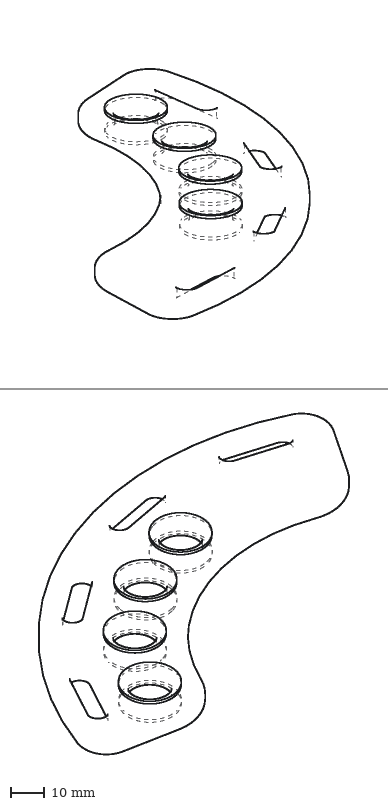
import cadquery as cq
import math

OUTER_RADIUS = 110.0
INNER_RADIUS = 65.0
SECTOR_ANGLE = 110.0
PLATE_THICKNESS = 6.0
EDGE_ROUND = 2.0
OUTER_CORNER_RADIUS = 10.0
INNER_CORNER_RADIUS = 16.0

HOLE_COUNT = 4
HOLE_DIAMETER = 13.0
HOLE_CIRCLE_RADIUS = 81.0
FIRST_HOLE_ANGLE = 12.85
HOLE_PITCH_ANGLE = 17.75
BOSS_HEIGHT = 8.0
BORE_ROUND = 3.0
BOSS_DIAMETER = HOLE_DIAMETER + 2 * BORE_ROUND

SLOT_COUNT = 4
SLOT_LENGTH = 24.0
SLOT_WIDTH = 6.0
SLOT_CIRCLE_RADIUS = 99.6
SLOT_PITCH_ANGLE = 27.08
FIRST_SLOT_ANGLE = (SECTOR_ANGLE - (SLOT_COUNT - 1) * SLOT_PITCH_ANGLE) / 2


def polar(radius, angle):
    """Point at a radius and a clockwise angle from +Y."""
    turn = math.radians(angle)
    return (radius * math.sin(turn), radius * math.cos(turn))


def corner_points(corner_radius, centre_radius):
    """Radius on the end line and angle on the arc where a rounded corner begins and ends."""
    line_radius = math.sqrt(centre_radius**2 - corner_radius**2)
    arc_angle = math.degrees(math.asin(corner_radius / centre_radius))
    return line_radius, arc_angle


def make_plate():
    outer_line_radius, outer_angle = corner_points(
        OUTER_CORNER_RADIUS, OUTER_RADIUS - OUTER_CORNER_RADIUS
    )
    inner_line_radius, inner_angle = corner_points(
        INNER_CORNER_RADIUS, INNER_RADIUS + INNER_CORNER_RADIUS
    )
    middle_angle = SECTOR_ANGLE / 2
    outline = (
        cq.Workplane("XY")
        .workplane(offset=-PLATE_THICKNESS / 2)
        .moveTo(*polar(inner_line_radius, 0))
        .lineTo(*polar(outer_line_radius, 0))
        .radiusArc(polar(OUTER_RADIUS, outer_angle), OUTER_CORNER_RADIUS)
        .threePointArc(polar(OUTER_RADIUS, middle_angle), polar(OUTER_RADIUS, SECTOR_ANGLE - outer_angle))
        .radiusArc(polar(outer_line_radius, SECTOR_ANGLE), OUTER_CORNER_RADIUS)
        .lineTo(*polar(inner_line_radius, SECTOR_ANGLE))
        .radiusArc(polar(INNER_RADIUS, SECTOR_ANGLE - inner_angle), INNER_CORNER_RADIUS)
        .threePointArc(polar(INNER_RADIUS, middle_angle), polar(INNER_RADIUS, inner_angle))
        .radiusArc(polar(inner_line_radius, 0), INNER_CORNER_RADIUS)
        .close()
    )
    return outline.extrude(PLATE_THICKNESS)


def cut_slots(plate):
    for index in range(SLOT_COUNT):
        angle = FIRST_SLOT_ANGLE + index * SLOT_PITCH_ANGLE
        slot = (
            cq.Workplane("XY")
            .slot2D(SLOT_LENGTH, SLOT_WIDTH)
            .extrude(PLATE_THICKNESS, both=True)
            .translate((0, SLOT_CIRCLE_RADIUS, 0))
            .rotate((0, 0, 0), (0, 0, 1), -angle)
        )
        plate = plate.cut(slot)
    return plate


def make_boss():
    return cq.Workplane("XY").circle(BOSS_DIAMETER / 2).extrude(BOSS_HEIGHT / 2, both=True)


def make_bore():
    """Hole that flares out at both ends along a quarter round up to the boss rim."""
    hole_radius = HOLE_DIAMETER / 2
    rim_radius = BOSS_DIAMETER / 2
    top = BOSS_HEIGHT / 2
    straight = top - BORE_ROUND
    return (
        cq.Workplane("XZ")
        .moveTo(0, -top)
        .lineTo(rim_radius, -top)
        .radiusArc((hole_radius, -straight), BORE_ROUND)
        .lineTo(hole_radius, straight)
        .radiusArc((rim_radius, top), BORE_ROUND)
        .lineTo(0, top)
        .close()
        .revolve(360, (0, 0), (0, 1))
    )


def add_bossed_holes(plate):
    for index in range(HOLE_COUNT):
        x, y = polar(HOLE_CIRCLE_RADIUS, FIRST_HOLE_ANGLE + index * HOLE_PITCH_ANGLE)
        plate = plate.union(make_boss().translate((x, y, 0)))
        plate = plate.cut(make_bore().translate((x, y, 0)))
    return plate


rounded_plate = cut_slots(make_plate()).faces("|Z").edges().fillet(EDGE_ROUND)
result = add_bossed_holes(rounded_plate)